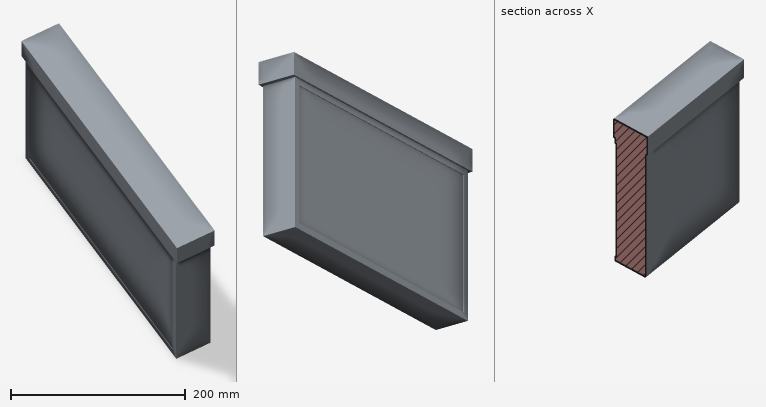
import cadquery as cq

cap_length = 348.0
cap_depth = 50.0
cap_height = 28.2

total_height = 215.0
case_length = 336.5
case_depth = 45.2
case_height = total_height - cap_height

frame_width = 8.0
recess_depth = 1.0
recess_length = case_length - 2 * frame_width
recess_height = case_height - 2 * frame_width


def make_cap():
    cap = cq.Workplane("XY").box(cap_length, cap_depth, cap_height, centered=(True, True, False))
    return cap.translate((0, 0, case_height))


def make_case():
    return cq.Workplane("XY").box(case_length, case_depth, case_height, centered=(True, True, False))


def make_recess():
    recess = cq.Workplane("XY").box(
        recess_length, recess_depth, recess_height, centered=(True, False, False)
    )
    return recess.translate((0, -case_depth / 2, frame_width))


result = make_case().union(make_cap()).cut(make_recess())